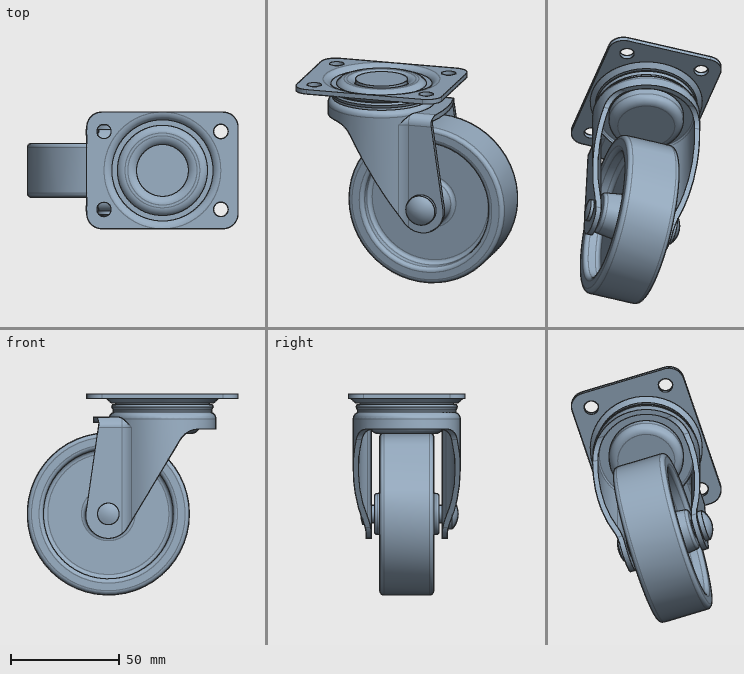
import cadquery as cq
import math


plate_length = 70.0
plate_width = 54.0
plate_thickness = 2.2
plate_corner_radius = 7.0
bolt_spacing_x = 54.0
bolt_spacing_y = 36.0
bolt_hole_diameter = 6.6

dish_outer_radius = plate_width / 2
dish_floor_outer_radius = 23.4
dish_floor_inner_radius = 20.85
ridge_outer_radius = 17.3
ridge_inner_radius = 16.0
dish_depth = 2.1
dish_underside_outer_radius = 25.9
dish_underside_floor_radius = 23.6
ridge_hollow_flare = 1.9
plate_bottom_z = -plate_thickness - dish_depth

kingpin_radius = 12.0
neck_radius = 21.7
race_top_radius = 23.0
race_rim_radius = 23.5
race_body_radius = 22.8
neck_height = 0.65
race_rim_z = -6.0
race_groove_z = -7.4
race_bottom_z = -8.5
retainer_radius = 17.2
retainer_bottom_z = -18.35
retainer_round = 4.0

caster_offset = 25.0
axle_z = -55.5

sheet = 2.4
head_radius = 24.75
head_round = 3.1
skirt_bottom_z = -16.3
arm_outer_y = 18.8
bridge_top_z = -10.8
bridge_round = 4.7
bridge_nose_x = -31.9
bridge_corner_x = -29.3
bend_start_x = -18.6
arm_end_radius = 10.4
arm_end_z = axle_z - 0.9
rear_edge_angle = 31.0
rear_edge_fillet = 10.0

wheel_radius = 37.5
wheel_width = 25.0
tread_round = 2.0
rim_inner_radius = 30.0
rim_round = 2.0
web_fillet = 2.0
web_thickness = 10.0
hub_radius = 9.5
hub_root_radius = 10.5
hub_length = 30.0
hub_end_round = 1.4
hub_base_fillet = 1.9

axle_radius = 4.1
rivet_head_radius = 7.0
rivet_head_rim = 2.2
rivet_head_dome = 2.8
rivet_tail_radius = 5.0
rivet_tail_rim = 1.5
rivet_tail_dome = 1.0


def pressed_round(sketch, start, end):
    """Arc between the plate's top level and the dish floor, level where it meets the top."""
    top, floor = (start, end) if start[1] > end[1] else (end, start)
    width = abs(start[0] - end[0])
    radius = (width**2 + dish_depth**2) / (2 * dish_depth)
    half_angle = math.asin(width / radius) / 2
    side = math.copysign(1, floor[0] - top[0])
    middle = (
        top[0] + side * radius * math.sin(half_angle),
        top[1] - radius * (1 - math.cos(half_angle)),
    )
    return sketch.threePointArc(middle, end)


def make_plate():
    blank = (
        cq.Workplane("XY")
        .rect(plate_length, plate_width)
        .extrude(-plate_thickness)
        .edges("|Z")
        .fillet(plate_corner_radius)
        .cut(cq.Workplane("XY").circle(dish_underside_outer_radius).extrude(-plate_thickness))
    )

    outer_rim = (dish_outer_radius, 0)
    floor_outer = (dish_floor_outer_radius, -dish_depth)
    floor_inner = (dish_floor_inner_radius, -dish_depth)
    ridge_outer = (ridge_outer_radius, 0)
    ridge_inner = (ridge_inner_radius, 0)
    hole_top = (kingpin_radius, -dish_depth)

    above = cq.Workplane("XZ").moveTo(*outer_rim)
    above = pressed_round(above, outer_rim, floor_outer)
    above = above.lineTo(0, -dish_depth).lineTo(0, 0).close().revolve(360, (0, 0, 0), (0, 1, 0))

    dish = cq.Workplane("XZ").moveTo(dish_outer_radius, -plate_thickness).lineTo(*outer_rim)
    dish = pressed_round(dish, outer_rim, floor_outer).lineTo(*floor_inner)
    dish = pressed_round(dish, floor_inner, ridge_outer).lineTo(*ridge_inner)
    dish = pressed_round(dish, ridge_inner, hole_top)
    dish = (
        dish.lineTo(kingpin_radius, plate_bottom_z)
        .lineTo(ridge_inner_radius - ridge_hollow_flare, plate_bottom_z)
        .lineTo(ridge_inner_radius, -plate_thickness)
        .lineTo(ridge_outer_radius, -plate_thickness)
        .lineTo(ridge_outer_radius + ridge_hollow_flare, plate_bottom_z)
        .lineTo(dish_underside_floor_radius, plate_bottom_z)
        .lineTo(dish_underside_outer_radius, -plate_thickness)
        .close()
        .revolve(360, (0, 0, 0), (0, 1, 0))
    )

    bolt_holes = (
        cq.Workplane("XY")
        .rect(bolt_spacing_x, bolt_spacing_y, forConstruction=True)
        .vertices()
        .circle(bolt_hole_diameter / 2)
        .extrude(-plate_thickness)
    )
    return blank.cut(above).union(dish).cut(bolt_holes)


def make_bearing():
    """Kingpin with the bearing race above the fork head and the round retainer below it."""
    race_top_z = plate_bottom_z - neck_height
    return (
        cq.Workplane("XZ")
        .moveTo(0, 0)
        .lineTo(kingpin_radius, 0)
        .lineTo(kingpin_radius, plate_bottom_z)
        .lineTo(neck_radius, plate_bottom_z)
        .lineTo(neck_radius, race_top_z)
        .lineTo(race_top_radius, race_top_z)
        .lineTo(race_rim_radius, race_rim_z)
        .lineTo(race_body_radius, race_groove_z)
        .lineTo(race_body_radius, race_bottom_z)
        .lineTo(kingpin_radius, race_bottom_z)
        .lineTo(kingpin_radius, race_bottom_z - sheet)
        .lineTo(retainer_radius, race_bottom_z - sheet)
        .lineTo(retainer_radius, retainer_bottom_z + retainer_round)
        .radiusArc((retainer_radius - retainer_round, retainer_bottom_z), retainer_round)
        .lineTo(0, retainer_bottom_z)
        .close()
        .revolve(360, (0, 0, 0), (0, 1, 0))
    )


def fork_block(inset):
    """Solid bounded by the fork's outer skin, moved inward by `inset`."""
    bottom_z = arm_end_z - arm_end_radius
    front_x = 2 * bridge_nose_x
    side_y = arm_outer_y - inset
    radius = head_radius - inset
    head = (
        cq.Workplane("XY", origin=(0, 0, bottom_z))
        .circle(radius)
        .extrude(race_bottom_z - inset - bottom_z)
        .faces(">Z")
        .edges()
        .fillet(head_round - inset)
    )

    bend_radius = (bend_start_x**2 + arm_outer_y**2 - head_radius**2) / (
        2 * (head_radius - arm_outer_y)
    ) + inset
    bend_center_y = side_y + bend_radius
    to_bend_center = math.hypot(bend_start_x, bend_center_y)
    touch_x = bend_start_x * radius / to_bend_center
    touch_y = bend_center_y * radius / to_bend_center

    bridge = (
        cq.Workplane("XY", origin=(0, 0, bottom_z))
        .moveTo(front_x, side_y)
        .lineTo(bend_start_x, side_y)
        .radiusArc((touch_x, touch_y), -bend_radius)
        .lineTo(touch_x, -touch_y)
        .radiusArc((bend_start_x, -side_y), -bend_radius)
        .lineTo(front_x, -side_y)
        .close()
        .extrude(bridge_top_z - inset - bottom_z)
    )
    bridge = bridge.faces(">Z").edges("not |Y").fillet(bridge_round - inset)
    return head.union(bridge)


def fork_side_profile():
    """Side outline of the fork, as a block wide enough to trim both arms."""
    end_x = -caster_offset
    arm_top_z = bridge_top_z - sheet

    rise = arm_top_z - arm_end_z
    reach = bridge_corner_x - end_x
    corner_distance = math.hypot(reach, rise)
    front_angle = math.atan2(rise, reach) + math.acos(arm_end_radius / corner_distance)
    front_touch = (
        end_x + arm_end_radius * math.cos(front_angle),
        arm_end_z + arm_end_radius * math.sin(front_angle),
    )

    lean = math.radians(rear_edge_angle)
    rear_touch = (
        end_x + arm_end_radius * math.cos(lean),
        arm_end_z - arm_end_radius * math.sin(lean),
    )
    skirt_corner_x = rear_touch[0] + (skirt_bottom_z - rear_touch[1]) * math.tan(lean)

    profile = (
        cq.Workplane("XZ")
        .moveTo(bridge_corner_x, arm_top_z)
        .lineTo(*front_touch)
        .threePointArc((end_x, arm_end_z - arm_end_radius), rear_touch)
        .lineTo(skirt_corner_x, skirt_bottom_z)
        .lineTo(head_radius, skirt_bottom_z)
        .lineTo(head_radius, race_bottom_z)
        .lineTo(bridge_nose_x, race_bottom_z)
        .lineTo(bridge_nose_x, arm_top_z)
        .close()
        .extrude(head_radius, both=True)
    )
    skirt_corner = cq.selectors.NearestToPointSelector((skirt_corner_x, 0, skirt_bottom_z))
    return profile.edges("|Y").edges(skirt_corner).fillet(rear_edge_fillet)


def bridge_plan_profile():
    """Plan outline that gives the bridge its bowed nose."""
    return (
        cq.Workplane("XY", origin=(0, 0, bridge_top_z - sheet))
        .moveTo(head_radius, arm_outer_y)
        .lineTo(bridge_corner_x, arm_outer_y)
        .threePointArc((bridge_nose_x, 0), (bridge_corner_x, -arm_outer_y))
        .lineTo(head_radius, -arm_outer_y)
        .close()
        .extrude(sheet)
    )


def make_fork(bearing, axle):
    """Pressed fork, with the holes and seats that the bearing and the axle fill."""
    shell = fork_block(0).cut(fork_block(sheet))
    fork = shell.intersect(fork_side_profile())
    nose_zone = (
        cq.Workplane("XY", origin=(bend_start_x, 0, bridge_top_z - sheet))
        .rect(2 * (bend_start_x - bridge_nose_x), 2 * arm_outer_y)
        .extrude(sheet)
    )
    fork = fork.cut(nose_zone.cut(bridge_plan_profile()))
    return fork.cut(bearing).cut(axle)


def turn_about_axle(outline):
    """Revolve an outline of (radius, along-axle) coordinates and move it onto the axle line."""
    turned = outline.revolve(360, (0, 0, 0), (0, 1, 0))
    return turned.translate((-caster_offset, 0, axle_z))


def make_wheel():
    half_width = wheel_width / 2
    half_web = web_thickness / 2
    half_hub = hub_length / 2
    hub_base_radius = hub_root_radius + hub_base_fillet
    hub_end_radius = hub_radius - hub_end_round
    tread_inner_radius = rim_inner_radius + rim_round
    center_outline = (
        cq.Workplane("XY")
        .moveTo(axle_radius, 0)
        .lineTo(axle_radius, half_hub)
        .lineTo(hub_end_radius, half_hub)
        .radiusArc((hub_radius, half_hub - hub_end_round), hub_end_round)
        .lineTo(hub_root_radius, half_web + hub_base_fillet)
        .radiusArc((hub_base_radius, half_web), -hub_base_fillet)
        .lineTo(rim_inner_radius - web_fillet, half_web)
        .radiusArc((rim_inner_radius, half_web + web_fillet), -web_fillet)
        .lineTo(rim_inner_radius, half_width - rim_round)
        .radiusArc((tread_inner_radius, half_width), rim_round)
        .lineTo(tread_inner_radius, 0)
        .mirrorX()
    )
    wheel_face = cq.Workplane("XZ", origin=(-caster_offset, half_width, axle_z))
    tread = wheel_face.circle(wheel_radius).extrude(wheel_width).edges().fillet(tread_round)
    center_space = wheel_face.circle(tread_inner_radius).extrude(wheel_width)
    return tread.cut(center_space).union(turn_about_axle(center_outline))


def make_axle():
    tail_y = -arm_outer_y - rivet_tail_rim
    head_y = arm_outer_y + rivet_head_rim
    head_dome_radius = (rivet_head_radius**2 + rivet_head_dome**2) / (2 * rivet_head_dome)
    tail_dome_radius = (rivet_tail_radius**2 + rivet_tail_dome**2) / (2 * rivet_tail_dome)
    outline = (
        cq.Workplane("XY")
        .moveTo(0, tail_y - rivet_tail_dome)
        .radiusArc((rivet_tail_radius, tail_y), -tail_dome_radius)
        .lineTo(rivet_tail_radius, -arm_outer_y)
        .lineTo(axle_radius, -arm_outer_y)
        .lineTo(axle_radius, arm_outer_y)
        .lineTo(rivet_head_radius, arm_outer_y)
        .lineTo(rivet_head_radius, head_y)
        .radiusArc((0, head_y + rivet_head_dome), -head_dome_radius)
        .close()
    )
    return turn_about_axle(outline)


plate = make_plate()
bearing = make_bearing()
axle = make_axle()
fork = make_fork(bearing, axle)
wheel = make_wheel()

result = cq.Compound.makeCompound(
    [
        plate.solids().val(),
        bearing.val(),
        fork.solids().val(),
        wheel.solids().val(),
        axle.val(),
    ]
)